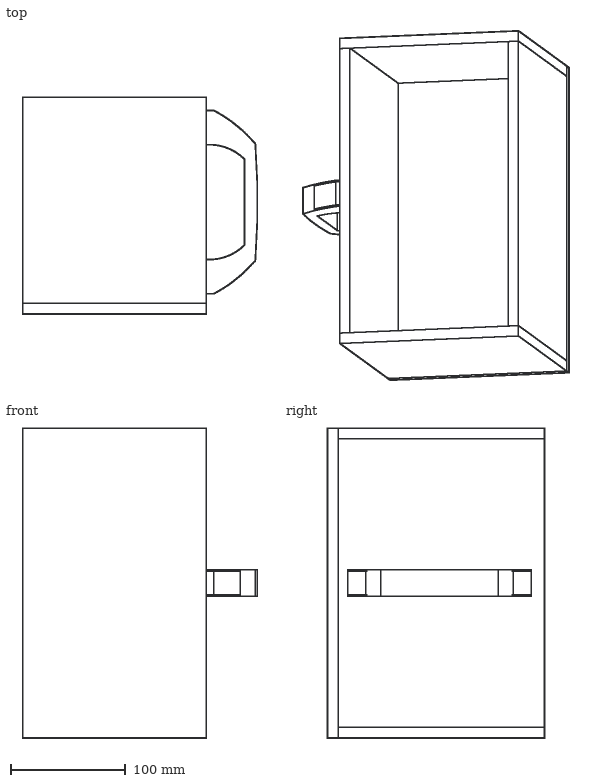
import cadquery as cq

box_width = 160.0
box_depth = 189.0
box_height = 270.0
panel_thickness = 9.2

handle_height = 23.2
handle_centre_y = 97.5
handle_reach = 44.5
foot_outer_half = 80.0
foot_inner_half = 50.0
foot_flat_length = 6.5
arm_middle_reach = 25.0
arm_middle_half = 67.8
grip_corner_reach = 42.7
grip_corner_half = 51.0
opening_reach = 33.0
opening_corner_half = 37.5
opening_middle_reach = 17.5
opening_middle_half = 47.2

cap_length = 29.5
cap_height = 20.5
cap_floor_half = 59.5

side_height = box_height - 2 * panel_thickness
side_depth = box_depth - panel_thickness


def corner_block(x, y, z, width, depth, height):
    """Block with its lowest corner at (x, y, z)."""
    return cq.Workplane("XY").box(width, depth, height, centered=False).translate((x, y, z))


def front_panel():
    return corner_block(0, 0, 0, box_width, panel_thickness, box_height)


def horizontal_panel(bottom_z):
    """Top or bottom panel, behind the front panel and as wide as the box."""
    return corner_block(0, panel_thickness, bottom_z, box_width, side_depth, panel_thickness)


def side_panel(left_x):
    """Side panel, behind the front panel and between the top and bottom panels."""
    return corner_block(
        left_x, panel_thickness, panel_thickness, panel_thickness, side_depth, side_height
    )


def on_handle(shape):
    """Move a shape made about the handle's own origin to the side of the box."""
    return shape.translate((box_width, handle_centre_y, box_height / 2))


def handle_blank():
    """Handle before the cap recesses are cut, with its feet on the plane X = 0."""
    return (
        cq.Workplane("XY")
        .moveTo(0, foot_outer_half)
        .lineTo(foot_flat_length, foot_outer_half)
        .threePointArc((arm_middle_reach, arm_middle_half), (grip_corner_reach, grip_corner_half))
        .threePointArc((handle_reach, 0), (grip_corner_reach, -grip_corner_half))
        .threePointArc((arm_middle_reach, -arm_middle_half), (foot_flat_length, -foot_outer_half))
        .lineTo(0, -foot_outer_half)
        .lineTo(0, -foot_inner_half)
        .threePointArc(
            (opening_middle_reach, -opening_middle_half), (opening_reach, -opening_corner_half)
        )
        .lineTo(opening_reach, opening_corner_half)
        .threePointArc((opening_middle_reach, opening_middle_half), (0, foot_inner_half))
        .close()
        .extrude(handle_height / 2, both=True)
    )


def cap_space(side):
    """Block that bounds one cap, on the +Y side (side = 1) or the -Y side (side = -1)."""
    cap_depth = foot_outer_half - cap_floor_half
    middle = (cap_length / 2, side * (cap_floor_half + cap_depth / 2), 0)
    return cq.Workplane("XY").box(cap_length, cap_depth, cap_height).translate(middle)


def handle():
    body = handle_blank()
    for side in (-1, 1):
        body = body.cut(cap_space(side))
    return on_handle(body)


def handle_cap(side):
    """Cap that fills its recess and continues the outer surface of the arm."""
    return on_handle(handle_blank().intersect(cap_space(side)))


horizontal_panels = [horizontal_panel(z) for z in (0, box_height - panel_thickness)]
side_panels = [side_panel(x) for x in (0, box_width - panel_thickness)]
handle_caps = [handle_cap(side) for side in (-1, 1)]

result = cq.Compound.makeCompound(
    [
        front_panel().val(),
        *[panel.val() for panel in horizontal_panels],
        *[panel.val() for panel in side_panels],
        handle().val(),
        *[cap.val() for cap in handle_caps],
    ]
)